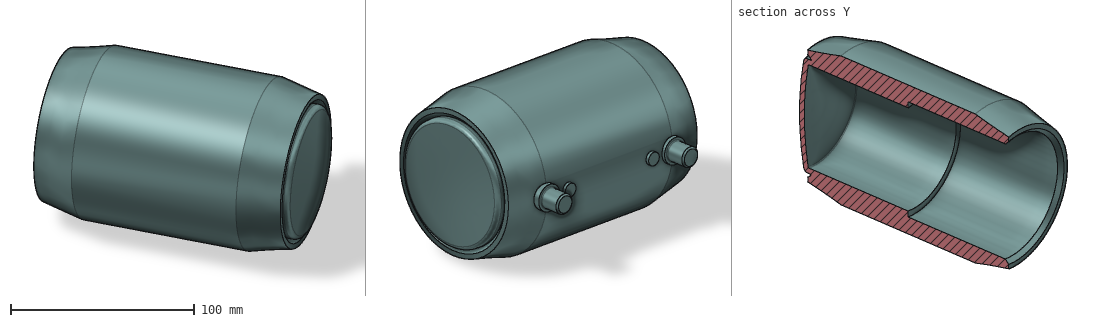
import cadquery as cq
import math

sleeve_length = 142.0
sleeve_radius = 48.5
sleeve_end_radius = 43.0
taper_length = sleeve_length / 6
bore_radius = 37.5
mouth_chamfer = 2.5

plug_wall = 3.75
plug_bore_radius = bore_radius - plug_wall
plug_start = sleeve_length / 2
plug_tip = 148.09
dome_radius = 200.0
plug_edge_fillet = 3.0
plug_bore_fillet = 0.5

terminal_spacing = sleeve_length - 2 * taper_length
terminal_diameter = 12.0
terminal_top = 63.0
terminal_chamfer = 1.0
terminal_root_fillet = 0.5
collar_diameter = 16.0
collar_top = 50.5
indicator_inset = 16.0
indicator_spacing = terminal_spacing - 2 * indicator_inset
indicator_diameter = 8.0
boss_root = (bore_radius + sleeve_end_radius) / 2


def revolve_about_x(profile):
    """Turn a closed profile, drawn as (axial position, radius), around X."""
    return profile.close().revolve(360, (0, 0, 0), (1, 0, 0))


def make_sleeve():
    """Tube tapered at both ends, with a chamfered bore mouth at each end."""
    mouth_radius = bore_radius + mouth_chamfer
    profile = (
        cq.Workplane("XY")
        .moveTo(0, mouth_radius)
        .lineTo(0, sleeve_end_radius)
        .lineTo(taper_length, sleeve_radius)
        .lineTo(sleeve_length - taper_length, sleeve_radius)
        .lineTo(sleeve_length, sleeve_end_radius)
        .lineTo(sleeve_length, mouth_radius)
        .lineTo(sleeve_length - mouth_chamfer, bore_radius)
        .lineTo(mouth_chamfer, bore_radius)
    )
    return revolve_about_x(profile)


def domed_cylinder(start, tip, radius, sphere_radius, edge_fillet):
    """Cylinder along X whose +X end is a shallow dome with a rounded rim."""
    centre = tip - sphere_radius
    rim = centre + math.sqrt(sphere_radius**2 - radius**2)
    mid_radius = radius / 2
    mid = centre + math.sqrt(sphere_radius**2 - mid_radius**2)
    profile = (
        cq.Workplane("XY")
        .moveTo(start, 0)
        .lineTo(start, radius)
        .lineTo(rim, radius)
        .threePointArc((mid, mid_radius), (tip, 0))
    )
    rim_box = cq.selectors.BoxSelector(
        (rim - edge_fillet, -2 * radius, -2 * radius),
        (rim + edge_fillet, 2 * radius, 2 * radius),
    )
    return revolve_about_x(profile).edges(rim_box).edges("%CIRCLE").fillet(edge_fillet)


def make_plug():
    """Thin-walled plug, open towards -X and closed by a dome of the same wall."""
    outer = domed_cylinder(plug_start, plug_tip, bore_radius, dome_radius, plug_edge_fillet)
    inner = domed_cylinder(
        plug_start, plug_tip - plug_wall, plug_bore_radius, dome_radius - plug_wall, plug_bore_fillet
    )
    return outer.cut(inner)


def make_boss(x, diameter, top):
    """Round post at axial position x, rising along +Y out of the sleeve wall."""
    return (
        cq.Workplane("XZ", origin=(x, boss_root, 0))
        .circle(diameter / 2)
        .extrude(boss_root - top)
    )


def make_terminal(x):
    """Chamfered pin on a collar, with a small fillet where they meet."""
    collar = make_boss(x, collar_diameter, collar_top)
    pin = make_boss(x, terminal_diameter, terminal_top)
    pin_edges = collar.union(pin).edges("%CIRCLE").edges(cq.selectors.RadiusNthSelector(0))
    filleted = pin_edges.edges("<Y").fillet(terminal_root_fillet)
    return filleted.faces(">Y").chamfer(terminal_chamfer)


def mirrored_positions(spacing):
    """Axial positions of a pair placed symmetrically about the sleeve middle."""
    middle = sleeve_length / 2
    return [middle - spacing / 2, middle + spacing / 2]


result = make_sleeve().union(make_plug())

for x in mirrored_positions(terminal_spacing):
    result = result.union(make_terminal(x))

for x in mirrored_positions(indicator_spacing):
    result = result.union(make_boss(x, indicator_diameter, collar_top))